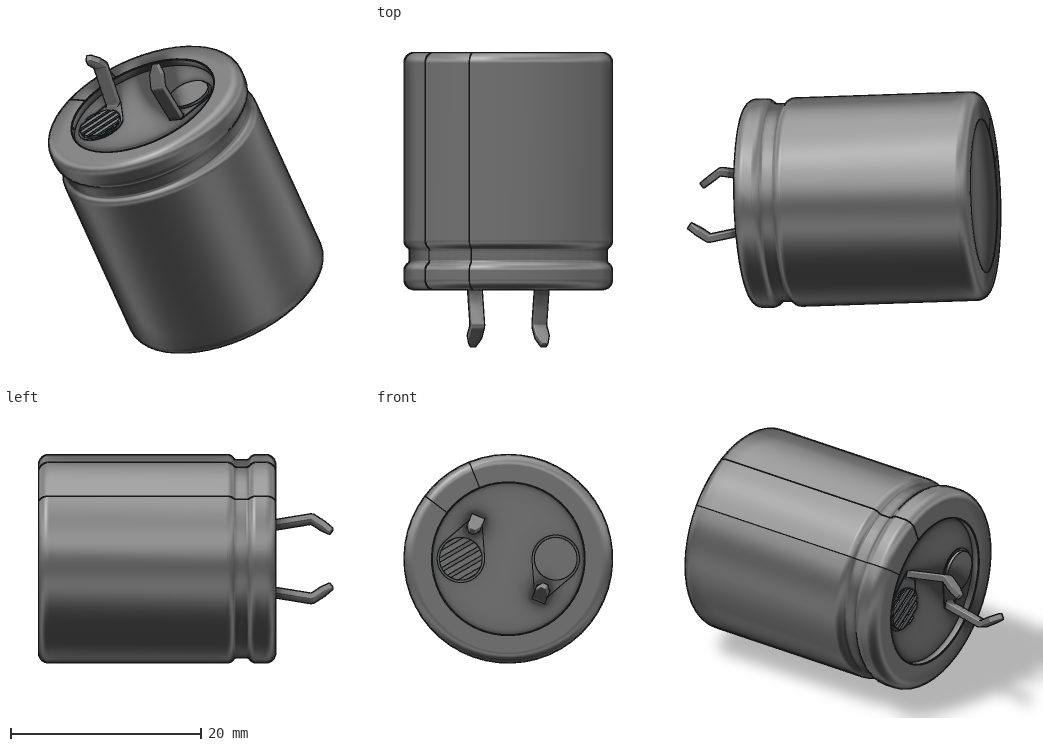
import cadquery as cq
import math


sleeve_diameter = 21.98
overall_length = 31
pin_reach = 6.0
can_length = overall_length - pin_reach
sleeve_wall = 0.1
end_radius = 1.1
crimp_diameter = 20.85
crimp_start = 2.05
crimp_flat = 1.0
crimp_crest_radius = 0.9
crimp_root_radius = 0.4
sleeve_opening = 16.18
stripe_start_angle = 112
stripe_end_angle = 143

recess_diameter = sleeve_opening - 2 * sleeve_wall
recess_depth = 0.8

rivet_offset = 5.0
terminal_turn = 22.5
plate_diameter = 5.0
plate_thickness = 0.1
rivet_diameter = 4.5
rivet_height = 0.43
rivet_top = recess_depth - rivet_height

pin_width = 1.5
pin_thickness = 0.68
pin_lean = 10
tip_lean = 35
bend_height = 4.9
bend_depth = 3.88
bend_inner_radius = 0.12
tip_taper_length = 1.1
tip_taper_inset = 0.43
pin_root_depth = 0.3
pin_edge_radius = 0.1
tip_corner_radius = 0.15
fold_radius = 0.3

slot_count = 5
slot_pitch = 1.0
slot_width = 0.4
slot_depth = 0.2
slot_angle = 30


def revolved_can(inset):
    """Solid of the crimped can outline, moved inwards by inset."""
    outer = sleeve_diameter / 2 - inset
    crimp = crimp_diameter / 2 - inset
    front = inset
    back = can_length - inset
    corner = end_radius - inset
    crest = crimp_crest_radius - inset
    root = crimp_root_radius + inset

    turn = math.acos(1 - (outer - crimp) / (crest + root))
    half = turn / 2
    crest_run = crest * math.sin(turn)
    root_run = root * math.sin(turn)
    meet_radius = outer - crest * (1 - math.cos(turn))

    crest_y = crimp_start
    meet_y = crest_y + crest_run
    root_y = meet_y + root_run
    crimp_middle = root_y + crimp_flat / 2

    def mirrored(y):
        return 2 * crimp_middle - y

    crest_mid = (outer - crest * (1 - math.cos(half)), crest_y + crest * math.sin(half))
    root_mid = (crimp + root * (1 - math.cos(half)), root_y - root * math.sin(half))
    corner_mid = corner * (1 - math.sqrt(0.5))

    outline = (
        cq.Workplane("XY")
        .moveTo(0, front)
        .lineTo(outer - corner, front)
        .threePointArc((outer - corner_mid, front + corner_mid), (outer, front + corner))
        .lineTo(outer, crest_y)
        .threePointArc(crest_mid, (meet_radius, meet_y))
        .threePointArc(root_mid, (crimp, root_y))
        .lineTo(crimp, mirrored(root_y))
        .threePointArc((root_mid[0], mirrored(root_mid[1])), (meet_radius, mirrored(meet_y)))
        .threePointArc((crest_mid[0], mirrored(crest_mid[1])), (outer, mirrored(crest_y)))
        .lineTo(outer, back - corner)
        .threePointArc((outer - corner_mid, back - corner_mid), (outer - corner, back))
        .lineTo(0, back)
        .close()
    )
    return outline.revolve(360, (0, 0), (0, 1))


def disc(diameter, start_y, end_y):
    """Cylinder along Y between two Y positions."""
    height = end_y - start_y
    return cq.Workplane("XZ", origin=(0, end_y, 0)).circle(diameter / 2).extrude(height)


def stripe_sector():
    """Wedge around the Y axis that covers the polarity stripe."""
    reach = sleeve_diameter
    corners = [(0, 0)]
    for angle in (stripe_start_angle, stripe_end_angle):
        radians = math.radians(angle)
        corners.append((reach * math.cos(radians), reach * math.sin(radians)))
    return cq.Workplane("XZ", origin=(0, can_length, 0)).polyline(corners).close().extrude(can_length)


def pin():
    """Bent pin: a leg that leans outwards, then a tapered tip that leans back inwards."""
    lean = math.radians(pin_lean)
    tip = math.radians(tip_lean)
    half_bend = (lean + tip) / 2
    miter = pin_thickness / math.cos(half_bend)
    miter_angle = half_bend - lean

    outer_bend = (-bend_depth, bend_height)
    inner_bend = (
        outer_bend[0] + miter * math.sin(miter_angle),
        outer_bend[1] - miter * math.cos(miter_angle),
    )
    root_y = recess_depth + pin_root_depth
    outer_root = (root_y, outer_bend[1] - (root_y - outer_bend[0]) * math.tan(lean))
    fold_y = recess_depth - plate_thickness
    fold = (fold_y, inner_bend[1] - (fold_y - inner_bend[0]) * math.tan(lean))
    foot_z = fold[1] - 2 * fold_radius

    sharp_reach = pin_reach + pin_edge_radius * (math.cos(tip) + math.sin(tip) - 1)
    outer_tip = (-sharp_reach, outer_bend[1] - (sharp_reach - bend_depth) * math.tan(tip))
    inner_tip = (
        outer_tip[0] + pin_thickness * math.sin(tip),
        outer_tip[1] - pin_thickness * math.cos(tip),
    )
    profile = [
        outer_root, outer_bend, outer_tip, inner_tip, inner_bend, fold, (fold_y, foot_z), (root_y, foot_z)
    ]
    blank = cq.Workplane("YZ").polyline(profile).close().extrude(pin_width / 2, both=True)

    bends = [
        (outer_bend, bend_inner_radius + pin_thickness),
        (inner_bend, bend_inner_radius),
        (fold, fold_radius),
    ]
    for point, radius in bends:
        corner_edge = cq.selectors.NearestToPointSelector((0, *point))
        blank = blank.edges("|X").edges(corner_edge).fillet(radius)

    across_tip = cq.Vector(0, -math.sin(tip), math.cos(tip))
    half_width = pin_width / 2
    tip_plane = cq.Plane(origin=(0, *outer_tip), xDir=(1, 0, 0), normal=across_tip)
    for side in (1, -1):
        corner = [(side * half_width, 0), (side * half_width, tip_taper_length)]
        corner.append((side * (half_width - tip_taper_inset), 0))
        wedge = cq.Workplane(tip_plane).polyline(corner).close().extrude(-pin_thickness)
        blank = blank.cut(wedge)

    blank = blank.edges(cq.selectors.ParallelDirSelector(across_tip)).fillet(tip_corner_radius)
    leg_direction = cq.Vector(0, -math.cos(lean), math.sin(lean))
    return blank.edges(cq.selectors.ParallelDirSelector(leg_direction)).fillet(pin_edge_radius)


def plate():
    """Teardrop plate around the rivet that narrows to the width of the pin."""
    radius = plate_diameter / 2
    half_width = pin_width / 2
    end_z = bend_height - (recess_depth + bend_depth) * math.tan(math.radians(pin_lean))

    corner_angle = math.atan2(end_z, half_width)
    touch_angle = corner_angle - math.acos(radius / math.hypot(half_width, end_z))
    touch = (radius * math.cos(touch_angle), radius * math.sin(touch_angle))
    return (
        cq.Workplane("XZ", origin=(0, recess_depth, 0))
        .moveTo(half_width, end_z)
        .lineTo(*touch)
        .threePointArc((0, -radius), (-touch[0], touch[1]))
        .lineTo(-half_width, end_z)
        .close()
        .extrude(plate_thickness)
    )


def terminal():
    """Plate, rivet head and pin of one terminal."""
    rivet = disc(rivet_diameter, rivet_top, recess_depth)
    return plate().union(rivet).union(pin())


def polarity_slots():
    """Cutters for the parallel slots across the negative rivet head."""
    return (
        cq.Workplane("XZ", origin=(0, rivet_top + slot_depth, 0))
        .rarray(rivet_diameter, slot_pitch, 1, slot_count)
        .rect(rivet_diameter, slot_width)
        .extrude(slot_depth)
        .rotate((0, 0, 0), (0, 1, 0), -slot_angle)
    )


def make_core():
    """Can with its recessed base, both terminals and the polarity slots."""
    core = revolved_can(sleeve_wall).cut(disc(recess_diameter, 0, recess_depth))
    for half_turn in (0, 180):
        placed = (
            terminal()
            .rotate((0, 0, 0), (0, 1, 0), terminal_turn)
            .translate((-rivet_offset, 0, 0))
            .rotate((0, 0, 0), (0, 1, 0), half_turn)
        )
        core = core.union(placed)
    return core.cut(polarity_slots().translate((-rivet_offset, 0, 0)))


def make_wrap():
    """Thin wrap over the can, open in the middle of both ends."""
    wrap = revolved_can(0).cut(revolved_can(sleeve_wall))
    return wrap.cut(disc(sleeve_opening, 0, can_length))


core = make_core()
wrap = make_wrap()
sleeve = wrap.cut(stripe_sector())
stripe = wrap.intersect(stripe_sector())

result = cq.Compound.makeCompound([core.val(), sleeve.val(), stripe.val()])